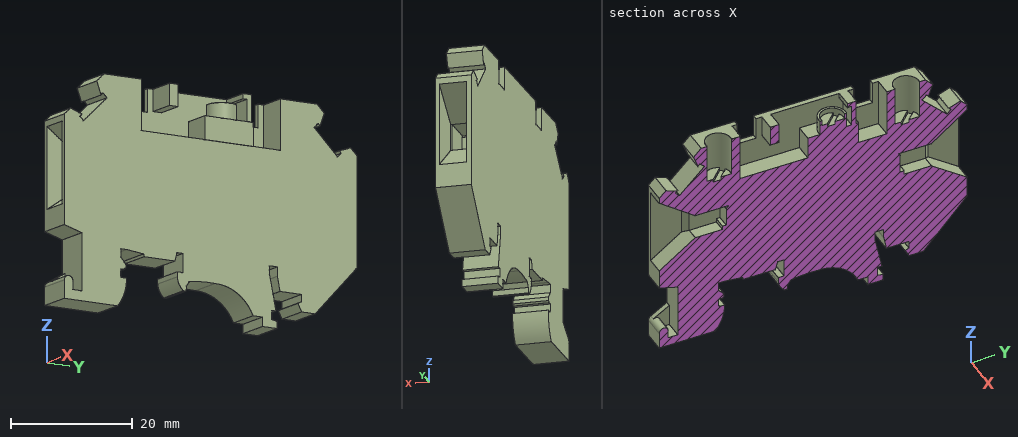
import cadquery as cq
import math

LENGTH = 56.5
THICKNESS = 6.15
HEIGHT = 38.8
END = LENGTH / 2
TOP_HALF = 20.55

FOOT_WALL_Y = -24.85
FOOT_WALL_TOP = 11.45
FOOT_WALL_BOTTOM = 5.65
FOOT_WEB = 0.95
LIP_RADIUS = 0.85
LIP_TOP = 3.95
WEB_END_ANGLE = 56.0
LIP_SLOT_FLOOR = 1.7

WALL = 0.95
RECESS_Y = (-13.35, 13.45)
RECESS_FLOOR = 30.1
NOTCH_NEAR = 9.0
NOTCH_FAR = 12.4
NOTCH_FLOOR = 34.8
RIB_INNER = 6.25
RIB_OUTER = 7.9
RIB_BOTTOM = 35.05
RIB_LIP_WIDTH = 0.75
RIB_LIP_HEIGHT = 0.9
INSERT_X = 6.05
INSERT_Y = (-1.0, 8.3)
INSERT_TOP = 34.2

SCREW_X = 3.6
SCREW_SLOT = 0.95
SLOT_ANGLE = -45.0
SLOT_DEPTH = 0.55
END_SCREW_Y = 17.25
END_SCREW_RADIUS = 2.25
END_SCREW_TOP = 31.65
CUP_Y = 3.7
CUP_RADIUS = 2.5
CUP_BORE_RADIUS = 2.1
CUP_TOP = 36.9
CUP_FLOOR = 35.95

FUNNEL_X = (0.85, 5.5)
FUNNEL_Z = (16.05, 30.0)
FUNNEL_DEPTH = 6.6
TUNNEL_X = (1.8, 5.25)
TUNNEL_Z = (20.7, 25.15)
TUNNEL_DEPTH = 5.65
TUNNEL_SILL = 0.7
TUNNEL_BEVEL = 0.4


def box(x_range, y_range, z_range):
    """Block between the given limits."""
    size = [high - low for low, high in (x_range, y_range, z_range)]
    corner = (x_range[0], y_range[0], z_range[0])
    return cq.Workplane("XY").box(*size, centered=False).translate(corner)


def side_prism(points, x_range):
    """Polygon of (Y, Z) points carried across the thickness."""
    depth = x_range[1] - x_range[0]
    return cq.Workplane("YZ").workplane(offset=x_range[0]).polyline(points).close().extrude(depth)


def cylinder(y, radius, bottom, top):
    """Upright cylinder on the line of the screws."""
    return cq.Workplane("XY").workplane(offset=bottom).center(SCREW_X, y).circle(radius).extrude(top - bottom)


def cut_screw_slot(body, y, radius, top):
    """Driver slot across a screw head."""
    slot = cq.Workplane("XY").box(2 * radius, SCREW_SLOT, SLOT_DEPTH)
    slot = slot.rotate((0, 0, 0), (0, 0, 1), SLOT_ANGLE)
    slot = slot.translate((SCREW_X, y, top - SLOT_DEPTH / 2))
    head = cylinder(y, radius, top - SLOT_DEPTH, top)
    return body.cut(slot.intersect(head))


def lip_point(angle):
    """Point (Y, Z) on the round of the foot's lip, by its angle above the -Y direction."""
    turn = math.radians(angle)
    y = LIP_RADIUS - END - LIP_RADIUS * math.cos(turn)
    z = LIP_TOP - LIP_RADIUS + LIP_RADIUS * math.sin(turn)
    return y, z


def body_plate():
    """Full outline of the block, with its label holders and its rail foot."""
    holder = [
        (END, 31.1), (27.0, 32.25), (24.8, 31.45), (25.2, 31.1), (24.5, 30.4),
        (20.0, 34.8), (20.8, 35.55), (21.15, 35.15), (22.0, 37.4), (TOP_HALF, HEIGHT),
    ]
    opposite_holder = [(-y, z) for y, z in reversed(holder)]
    outline = (
        cq.Workplane("YZ")
        .polyline(holder + opposite_holder)
        .lineTo(-END, 12.45)
        .lineTo(FOOT_WALL_Y, FOOT_WALL_TOP)
        .lineTo(FOOT_WALL_Y, LIP_SLOT_FLOOR)
        .lineTo(2 * LIP_RADIUS - END, LIP_SLOT_FLOOR)
        .lineTo(*lip_point(180))
        .threePointArc(lip_point(90), lip_point(0))
        .lineTo(-END, 0)
        .lineTo(-17.9, 0)
        .threePointArc((-16.7, 2.0), (-16.2, 4.9))
        .lineTo(-17.2, 4.9)
        .lineTo(-17.35, 5.15)
        .lineTo(-17.35, 6.3)
        .lineTo(-16.6, 6.3)
        .lineTo(-16.35, 6.6)
        .lineTo(-16.35, 7.25)
        .lineTo(-17.35, 8.3)
        .lineTo(-17.35, 9.7)
        .lineTo(-16.2, 9.7)
        .lineTo(-12.95, 9.4)
        .lineTo(-12.8, 8.9)
        .lineTo(-6.9, 8.9)
        .lineTo(-6.5, 10.4)
        .lineTo(-5.35, 10.4)
        .lineTo(-5.35, 7.2)
        .lineTo(-6.45, 7.2)
        .lineTo(-6.45, 6.3)
        .threePointArc((-6.1, 5.15), (-5.25, 4.1))
        .lineTo(-4.75, 4.1)
        .lineTo(-4.65, 5.05)
        .lineTo(-4.05, 5.8)
        .threePointArc((-1.6, 6.1), (0.85, 6.1))
        .threePointArc((5.25, 4.9), (8.2, 1.6))
        .lineTo(10.0, 1.6)
        .lineTo(10.0, 0)
        .lineTo(12.9, 0)
        .lineTo(12.9, 1.25)
        .lineTo(11.8, 1.4)
        .lineTo(11.8, 2.95)
        .lineTo(12.65, 2.95)
        .lineTo(11.35, 8.9)
        .lineTo(11.35, 10.4)
        .lineTo(12.9, 10.4)
        .lineTo(12.9, 8.8)
        .lineTo(13.4, 6.3)
        .lineTo(17.5, 6.3)
        .lineTo(17.5, 5.1)
        .lineTo(16.85, 4.75)
        .lineTo(17.55, 3.4)
        .lineTo(20.2, 3.4)
        .lineTo(END, 12.1)
        .close()
    )
    return outline.extrude(THICKNESS)


def foot_web():
    """Thin web that closes the slot behind the lip on the closed face."""
    corners = [
        (FOOT_WALL_Y, FOOT_WALL_BOTTOM), lip_point(WEB_END_ANGLE),
        (LIP_RADIUS - END, LIP_SLOT_FLOOR), (FOOT_WALL_Y, LIP_SLOT_FLOOR),
    ]
    return side_prism(corners, (0, FOOT_WEB))


def rib(side, bottom):
    """Bridge across the recess on the given side of the middle."""
    limits = sorted((side * RIB_INNER, side * RIB_OUTER))
    return box((WALL, THICKNESS), limits, (bottom, HEIGHT))


def hooked_rib():
    """Rib that stands on the insert, undercut below a lip that faces the middle."""
    undercut_y = (RIB_INNER, RIB_INNER + RIB_LIP_WIDTH)
    undercut = box((WALL, THICKNESS), undercut_y, (INSERT_TOP, HEIGHT - RIB_LIP_HEIGHT))
    return rib(1, INSERT_TOP).cut(undercut)


def insert():
    """Metal insert in the recess, with the cup-shaped middle screw."""
    block = box((WALL, INSERT_X), INSERT_Y, (RECESS_FLOOR, INSERT_TOP))
    cup = cylinder(CUP_Y, CUP_RADIUS, INSERT_TOP, CUP_TOP)
    cup = cup.cut(cylinder(CUP_Y, CUP_BORE_RADIUS, CUP_FLOOR, CUP_TOP))
    return cut_screw_slot(block.union(cup), CUP_Y, CUP_BORE_RADIUS, CUP_FLOOR)


def cable_entry():
    """Funnel and tunnel cut into the -Y end face."""
    mouth = -END
    throat = mouth + FUNNEL_DEPTH
    back = throat + TUNNEL_DEPTH
    slopes = [(mouth, FUNNEL_Z[0]), (throat, TUNNEL_Z[0]), (throat, TUNNEL_Z[1]), (mouth, FUNNEL_Z[1])]
    funnel = side_prism(slopes, FUNNEL_X)
    flank = TUNNEL_X[0] - FUNNEL_X[0]
    plan = [
        (FUNNEL_X[0], mouth), (FUNNEL_X[0], throat - flank), (TUNNEL_X[0], throat),
        (FUNNEL_X[1], throat), (FUNNEL_X[1], mouth),
    ]
    funnel = funnel.intersect(cq.Workplane("XY").polyline(plan).close().extrude(HEIGHT))
    tunnel = side_prism(
        [
            (throat, TUNNEL_Z[0]), (back - TUNNEL_SILL, TUNNEL_Z[0]),
            (back - TUNNEL_SILL, TUNNEL_Z[0] + TUNNEL_SILL), (back, TUNNEL_Z[0] + TUNNEL_SILL),
            (back, TUNNEL_Z[1] - TUNNEL_BEVEL), (back + TUNNEL_BEVEL, TUNNEL_Z[1]),
            (throat, TUNNEL_Z[1]),
        ],
        TUNNEL_X,
    )
    return funnel.union(tunnel)


result = body_plate().union(foot_web())

result = result.cut(box((WALL, THICKNESS), RECESS_Y, (RECESS_FLOOR, HEIGHT)))
for notch_y in ((-NOTCH_FAR, -NOTCH_NEAR), (NOTCH_NEAR, NOTCH_FAR)):
    result = result.cut(box((0, WALL), notch_y, (NOTCH_FLOOR, HEIGHT)))
for fitting in (rib(-1, RIB_BOTTOM), hooked_rib(), insert()):
    result = result.union(fitting)

entry = cable_entry()
for end_entry in (entry, entry.mirror("XZ")):
    result = result.cut(end_entry)
for screw_y in (-END_SCREW_Y, END_SCREW_Y):
    result = result.cut(cylinder(screw_y, END_SCREW_RADIUS, END_SCREW_TOP, HEIGHT))
    result = cut_screw_slot(result, screw_y, END_SCREW_RADIUS, END_SCREW_TOP)